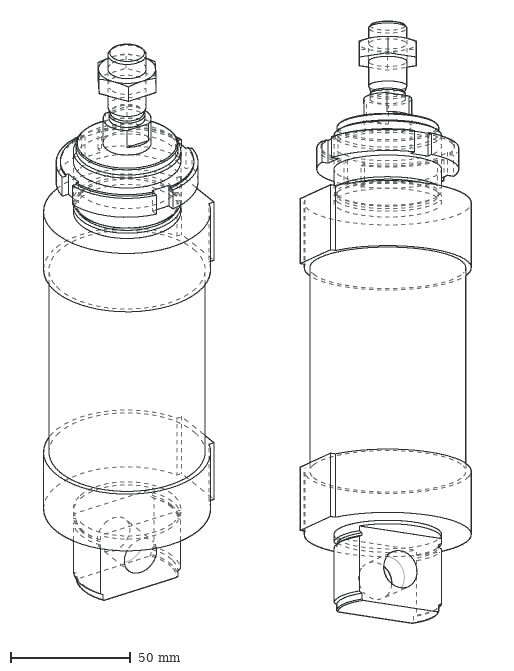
import cadquery as cq
import math


disc_bottom_z = 32.0
lower_cap_bottom_z = 33.5
lower_cap_top_z = 61.0
upper_cap_bottom_z = 149.2
upper_cap_top_z = 177.5
neck_top_z = 210.5
neck_land_top_z = 207.5

cap_diameter = 70.0
tube_diameter = 65.3
neck_diameter = 45.0
end_diameter = 42.7
end_chamfer = 0.5
land_bevel_height = 0.8
cap_pad_width = 25.5
groove_width = 2.5
groove_floor_width = 1.0
neck_groove_z = 181.2
tongue_groove_z = 28.7

tongue_thickness = 21.0
tongue_land_bottom_z = 3.0
clevis_hole_diameter = 16.0
clevis_hole_z = 16.0

rod_top_z = 254.2
rod_diameter = 20.0
rod_shoulder_z = 222.5
rod_flats_bottom_z = 214.3
rod_flats_width = 17.0
thread_diameter = 16.0
thread_bottom_z = 228.0
thread_chamfer_height = 1.0
thread_tip_diameter = 14.5
relief_diameter = 14.0
relief_z = 225.2
collar_diameter = 15.0
collar_top_z = 224.5

rod_nut_sides = 6
rod_nut_across_flats = 24.0
rod_nut_bottom_z = 238.7
rod_nut_height = 7.5
rod_nut_bevel_angle = 20.0

lock_nut_diameter = 59.5
lock_nut_bottom_z = 192.0
lock_nut_height = 10.0
lock_nut_face_diameter = 56.0
lock_nut_face_height = 0.8
lock_nut_slot_width = 8.1
lock_nut_slot_floor_radius = 26.5
lock_nut_slot_count = 4


def cylinder(diameter, bottom_z, top_z):
    """Round body about Z between two heights."""
    return cq.Workplane("XY").workplane(offset=bottom_z).circle(diameter / 2).extrude(top_z - bottom_z)


def revolved(outline):
    """Solid of revolution about Z from (radius, height) points."""
    return cq.Workplane("XZ").polyline(outline).close().revolve(360, (0, 0), (0, 1))


def cap(bottom_z, top_z):
    """Round end cap with a flat-topped pad along its +Y side."""
    height = top_z - bottom_z
    radius = cap_diameter / 2
    pad = (
        cq.Workplane("XY")
        .box(cap_pad_width, radius, height, centered=(True, False, False))
        .translate((0, 0, bottom_z))
    )
    return cylinder(cap_diameter, bottom_z, top_z).union(pad)


def stepped_boss(end_z, land_z, base_z):
    """Round boss standing on base_z: a wide land, a bevelled step at land_z and a narrower end at end_z."""
    outward = math.copysign(1, end_z - base_z)
    land_radius = neck_diameter / 2
    end_radius = end_diameter / 2
    outline = [
        (0, base_z),
        (land_radius, base_z),
        (land_radius, land_z - outward * land_bevel_height),
        (end_radius, land_z),
        (end_radius, end_z - outward * end_chamfer),
        (end_radius - end_chamfer, end_z),
        (0, end_z),
    ]
    return revolved(outline)


def groove(z):
    """Ring with a trapezoid section, cut around the land from its surface to the end diameter."""
    floor_radius = end_diameter / 2
    land_radius = neck_diameter / 2
    slope = (groove_width - groove_floor_width) / 2 / (land_radius - floor_radius)
    outer_radius = cap_diameter / 2
    outer_half_width = groove_floor_width / 2 + slope * (outer_radius - floor_radius)
    outline = [
        (floor_radius, z - groove_floor_width / 2),
        (outer_radius, z - outer_half_width),
        (outer_radius, z + outer_half_width),
        (floor_radius, z + groove_floor_width / 2),
    ]
    return revolved(outline)


def make_neck():
    """Grooved boss on the upper cap that carries the lock nut and the rod."""
    return stepped_boss(neck_top_z, neck_land_top_z, upper_cap_top_z).cut(groove(neck_groove_z))


def make_tongue():
    """Round boss cut down to a flat tongue under a thin disc, with a cross hole along X."""
    boss = stepped_boss(0, tongue_land_bottom_z, lower_cap_bottom_z).cut(groove(tongue_groove_z))
    slab = cq.Workplane("XY").box(
        tongue_thickness, neck_diameter, lower_cap_bottom_z, centered=(True, True, False)
    )
    disc = cylinder(neck_diameter, disc_bottom_z, lower_cap_bottom_z)
    hole = (
        cq.Workplane("YZ")
        .center(0, clevis_hole_z)
        .circle(clevis_hole_diameter / 2)
        .extrude(tongue_thickness, both=True)
    )
    return boss.intersect(slab).union(disc).cut(hole)


def make_housing():
    """Tube with both end caps, the neck and the clevis tongue in one piece."""
    tube = cylinder(tube_diameter, lower_cap_top_z, upper_cap_bottom_z)
    return (
        tube.union(cap(lower_cap_bottom_z, lower_cap_top_z))
        .union(cap(upper_cap_bottom_z, upper_cap_top_z))
        .union(make_neck())
        .union(make_tongue())
    )


def make_rod():
    """Rod standing on the neck: wrench flats, thread relief and threaded end."""
    outline = [
        (0, neck_top_z),
        (rod_diameter / 2, neck_top_z),
        (rod_diameter / 2, rod_shoulder_z),
        (collar_diameter / 2, rod_shoulder_z),
        (collar_diameter / 2, collar_top_z),
        (relief_diameter / 2, relief_z),
        (thread_diameter / 2, thread_bottom_z),
        (thread_diameter / 2, rod_top_z - thread_chamfer_height),
        (thread_tip_diameter / 2, rod_top_z),
        (0, rod_top_z),
    ]
    flats_height = rod_shoulder_z - rod_flats_bottom_z
    between_flats = (
        cq.Workplane("XY")
        .box(rod_flats_width, rod_diameter, flats_height, centered=(True, True, False))
        .translate((0, 0, rod_flats_bottom_z))
    )
    waste = cylinder(rod_diameter, rod_flats_bottom_z, rod_shoulder_z).cut(between_flats)
    return revolved(outline).cut(waste)


def make_rod_nut():
    """Hexagon nut with corners on the Y axis and a bevelled top."""
    across_corners = rod_nut_across_flats / math.cos(math.pi / rod_nut_sides)
    top_z = rod_nut_bottom_z + rod_nut_height
    nut = (
        cq.Workplane("XY")
        .workplane(offset=rod_nut_bottom_z)
        .transformed(rotate=(0, 0, 90))
        .polygon(rod_nut_sides, across_corners)
        .circle(thread_diameter / 2)
        .extrude(rod_nut_height)
    )
    bevel_width = (across_corners - rod_nut_across_flats) / 2
    bevel_height = bevel_width * math.tan(math.radians(rod_nut_bevel_angle))
    envelope = cylinder(across_corners, rod_nut_bottom_z, top_z)
    envelope = envelope.faces(">Z").chamfer(bevel_height, bevel_width)
    return nut.intersect(envelope)


def make_lock_nut():
    """Round slotted nut around the neck, with a slightly raised top face."""
    top_z = lock_nut_bottom_z + lock_nut_height
    rim = cylinder(lock_nut_diameter, lock_nut_bottom_z, top_z - lock_nut_face_height)
    nut = rim.union(cylinder(lock_nut_face_diameter, lock_nut_bottom_z, top_z))
    slot = (
        cq.Workplane("XY")
        .box(lock_nut_diameter, lock_nut_slot_width, lock_nut_height, centered=(False, True, False))
        .translate((lock_nut_slot_floor_radius, 0, lock_nut_bottom_z))
    )
    for index in range(lock_nut_slot_count):
        nut = nut.cut(slot.rotate((0, 0, 0), (0, 0, 1), index * 360 / lock_nut_slot_count))
    return nut.cut(cylinder(neck_diameter, lock_nut_bottom_z, top_z))


housing = make_housing()
rod = make_rod()
rod_nut = make_rod_nut()
lock_nut = make_lock_nut()

result = cq.Compound.makeCompound([housing.val(), rod.val(), rod_nut.val(), lock_nut.val()])